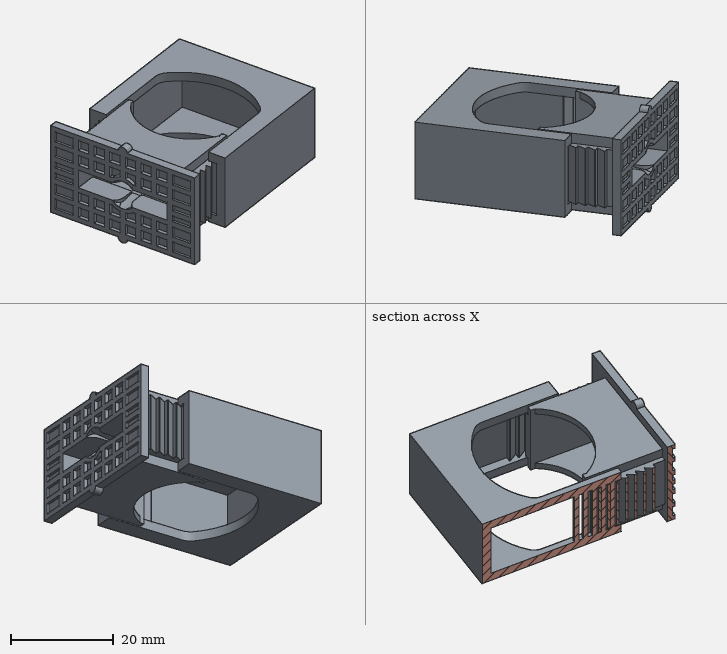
import cadquery as cq
import math


total_length = 43.0
total_height = 22.0
housing_width = 32.0
housing_length = 31.0
housing_height = 16.0
housing_front = total_length - housing_length

housing_wall = 2.0
cavity_width = housing_width - 2 * housing_wall
cavity_height = housing_height - 2 * housing_wall
opening_width = 24.15
opening_end = 35.75
opening_arc_radius = 16.0
opening_corner_radius = 3.35

plate_width = 34.0
plate_height = 20.0
plate_thickness = 1.8
nub_width = 2.2
nub_height = (total_height - plate_height) / 2

pocket_depth = 0.8
outer_pocket_depth = 0.5
rib = 1.3
column_width = 2.4
column_count = 3
outer_column_width = 4.25
row_height = 2.3
outer_row_centre = 7.75
inner_row_centre = 4.3
narrow_row_height = 1.3
narrow_row_centre = 1.25
screw_boss_radius = 4.0

stem_end = 19.05
flange_width = 23.2
core_width = 25.2
core_height = 11.82
saddle_width = 20.95
saddle_radius = 12.0
saddle_bottom = 12.0
flange_thickness = 1.4
hollow_start = 4.9
slot_height = 4.1

screw_mouth_radius = 3.15
passage_width = 2.25
passage_height = 4.75
flare_radius = 2.8
flare_depth = 2.35
throat_height = 6.1

rack_start = 4.45
rack_length = 14.0
tooth_count = 7
tooth_pitch = rack_length / tooth_count
tooth_depth = 1.1
tooth_land = 0.17
housing_tooth_count = 5
first_mating_tooth = 5


def block(width, height, y_start, y_end, x=0.0, z=0.0):
    """Box centred on (x, z) that runs from y_start to y_end."""
    length = y_end - y_start
    return cq.Workplane("XY").box(width, length, height).translate((x, y_start + length / 2, z))


def both_sides(shape):
    """The shape joined with its mirror image across X = 0."""
    return shape.union(shape.mirror("YZ"))


def prism(points, height):
    """Closed XY outline made solid, centred on Z = 0."""
    return cq.Workplane("XY").polyline(points).close().extrude(height / 2, both=True)


def pipe_opening():
    """Arched opening through the top and bottom walls, open towards the base plate."""
    half_width = opening_width / 2
    arc_centre = opening_end - opening_arc_radius
    corner = arc_centre + math.sqrt(opening_arc_radius**2 - half_width**2)
    return (
        cq.Workplane("XY")
        .moveTo(-half_width, housing_front)
        .lineTo(half_width, housing_front)
        .lineTo(half_width, corner)
        .threePointArc((0, opening_end), (-half_width, corner))
        .close()
        .extrude(housing_height / 2, both=True)
        .edges("|Z")
        .edges(">Y")
        .fillet(opening_corner_radius)
    )


def housing_tooth(index):
    """Tooth on the +X cavity wall whose flat catches the flat of an insert tooth."""
    root = cavity_width / 2
    tip = root - tooth_depth
    flat = rack_start + (first_mating_tooth + index) * tooth_pitch
    points = [
        (root, flat - tooth_pitch),
        (tip, flat - tooth_land),
        (tip, flat),
        (root, flat),
    ]
    return prism(points, cavity_height)


def make_housing():
    body = block(housing_width, housing_height, housing_front, total_length)
    body = body.cut(block(cavity_width, cavity_height, housing_front, total_length - housing_wall))
    body = body.cut(pipe_opening())
    for index in range(housing_tooth_count):
        body = body.union(both_sides(housing_tooth(index)))
    return body


def base_plate():
    """Plate with a rounded nub in the middle of its top and bottom edges."""
    plate = block(plate_width, plate_height, 0, plate_thickness)
    edge = plate_height / 2
    nub = (
        cq.Workplane("XZ")
        .moveTo(-nub_width / 2, edge)
        .threePointArc((0, edge + nub_height), (nub_width / 2, edge))
        .close()
        .extrude(-plate_thickness)
    )
    return plate.union(nub).union(nub.mirror("XY"))


def plate_pockets():
    """Grid of blind pockets, kept clear of the ring around the screw hole."""
    column_pitch = column_width + rib
    first_column = column_pitch / 2
    outer_column_start = column_count * column_pitch + rib / 2
    outer_column = outer_column_start + outer_column_width / 2
    columns = [
        (first_column + index * column_pitch, column_width, pocket_depth) for index in range(column_count)
    ]
    columns.append((outer_column, outer_column_width, outer_pocket_depth))

    cells = []
    for x, width, depth in columns:
        cells.append((x, outer_row_centre, width, row_height, depth))
        cells.append((x, inner_row_centre, width, row_height, depth))
    cells.append(
        (outer_column, narrow_row_centre, outer_column_width, narrow_row_height, outer_pocket_depth)
    )

    pockets = cq.Workplane("XY")
    for x, z, width, height, depth in cells:
        for x_side in (-1, 1):
            for z_side in (-1, 1):
                pockets = pockets.add(block(width, height, 0, depth, x_side * x, z_side * z))
    screw_boss = cq.Workplane("XZ").circle(screw_boss_radius).extrude(-pocket_depth)
    return pockets.combine().cut(screw_boss)


def insert_tooth(index):
    """Tooth on the +X side: flat towards the base plate, ramp towards the housing."""
    root = core_width / 2
    tip = root + tooth_depth
    flat = rack_start + index * tooth_pitch
    points = [
        (root, flat),
        (tip, flat),
        (tip, flat + tooth_land),
        (root, flat + tooth_pitch),
    ]
    return prism(points, core_height)


def saddle():
    """Round pipe seat whose sides end as straight walls at the end of the stem."""
    centre = saddle_bottom + saddle_radius
    seat = cq.Workplane("XY").center(0, centre).circle(saddle_radius).extrude(housing_height / 2, both=True)
    return seat.intersect(block(saddle_width, housing_height, saddle_bottom, stem_end))


def stem_hollow():
    """Space between the two flanges and the two toothed arms, open to the saddle."""
    return block(saddle_width, housing_height - 2 * flange_thickness, hollow_start, stem_end)


def flared_passage():
    """Passage into the hollow whose side walls flare out in an arc towards the plate."""
    side = passage_width / 2
    flare_centre = side + flare_radius
    flare_angle = math.asin(flare_depth / flare_radius)
    mouth = flare_centre - flare_radius * math.cos(flare_angle)
    middle_x = flare_centre - flare_radius * math.cos(flare_angle / 2)
    middle_y = flare_depth - flare_radius * math.sin(flare_angle / 2)
    return (
        cq.Workplane("XY")
        .moveTo(-mouth, 0)
        .lineTo(mouth, 0)
        .threePointArc((middle_x, middle_y), (side, flare_depth))
        .lineTo(side, hollow_start)
        .lineTo(-side, hollow_start)
        .lineTo(-side, flare_depth)
        .threePointArc((-middle_x, middle_y), (-mouth, 0))
        .close()
        .extrude(screw_mouth_radius, both=True)
    )


def sloped_throat():
    """Flat roof and floor that close in from the round mouth to the height of the passage."""
    start = throat_height / 2
    end = passage_height / 2
    wedge = (
        cq.Workplane("YZ")
        .polyline([(0, -start), (0, start), (hollow_start, end), (hollow_start, -end)])
        .close()
        .extrude(screw_mouth_radius, both=True)
    )
    mouth = cq.Workplane("XZ").circle(screw_mouth_radius).extrude(-hollow_start)
    return wedge.intersect(mouth)


def screw_cone():
    """Round taper that runs a shallow groove along the middle of the sloped roof and floor."""
    end_radius = passage_height / 2
    return (
        cq.Workplane("XY")
        .polyline([(0, 0), (screw_mouth_radius, 0), (end_radius, hollow_start), (0, hollow_start)])
        .close()
        .revolve(360, (0, 0, 0), (0, 1, 0))
    )


def screw_hole():
    """Flared, tapering hole from the face of the plate into the hollow."""
    return sloped_throat().union(screw_cone()).intersect(flared_passage())


def make_insert():
    body = base_plate()
    body = body.union(block(flange_width, housing_height, plate_thickness, stem_end))
    body = body.union(block(core_width, core_height, plate_thickness, stem_end))
    for index in range(tooth_count):
        body = body.union(both_sides(insert_tooth(index)))
    body = body.cut(saddle())
    body = body.cut(plate_pockets())
    body = body.cut(stem_hollow())
    body = body.cut(block(saddle_width, slot_height, 0, hollow_start))
    return body.cut(screw_hole())


housing = make_housing()
insert = make_insert()

result = cq.Compound.makeCompound([housing.solids().val(), insert.solids().val()])